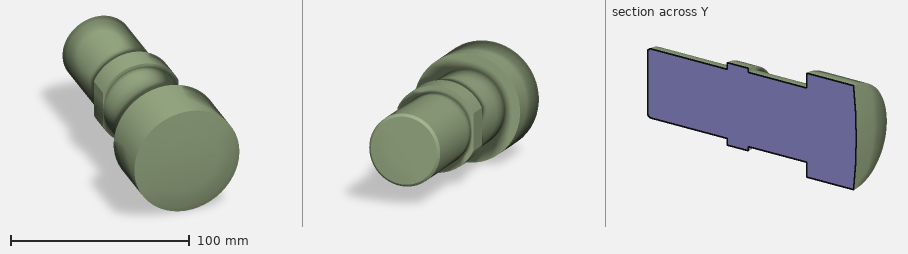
import cadquery as cq

total_length = 144.8
collar_start = 55.0
collar_end = 70.0
head_start = 110.2
dome_height = 1.9
dome_start = total_length - dome_height

shank_diameter = 42.0
neck_diameter = 45.0
collar_diameter = 50.0
head_diameter = 63.0

shank_chamfer = 1.5
collar_flat_width = neck_diameter


def cylinder(start, end, diameter):
    """Solid cylinder around the X axis between two positions."""
    return cq.Workplane("YZ", origin=(start, 0, 0)).circle(diameter / 2).extrude(end - start)


def make_collar():
    """Round collar with two wrench flats facing -Y and +Y."""
    length = collar_end - collar_start
    flats = cq.Workplane("XY").box(length, collar_flat_width, collar_diameter)
    flats = flats.translate((collar_start + length / 2, 0, 0))
    return cylinder(collar_start, collar_end, collar_diameter).intersect(flats)


def make_head():
    """Cylindrical head closed by a shallow spherical dome."""
    radius = head_diameter / 2
    sphere_radius = (radius**2 + dome_height**2) / (2 * dome_height)
    middle_radius = radius / 2
    middle_x = total_length - sphere_radius + (sphere_radius**2 - middle_radius**2) ** 0.5
    profile = (
        cq.Workplane("XY")
        .moveTo(head_start, 0)
        .lineTo(head_start, radius)
        .lineTo(dome_start, radius)
        .threePointArc((middle_x, middle_radius), (total_length, 0))
        .close()
    )
    return profile.revolve(360, (0, 0, 0), (1, 0, 0))


shank = cylinder(0, collar_start, shank_diameter).faces("<X").chamfer(shank_chamfer)
neck = cylinder(collar_end, head_start, neck_diameter)

result = shank.union(make_collar()).union(neck).union(make_head())